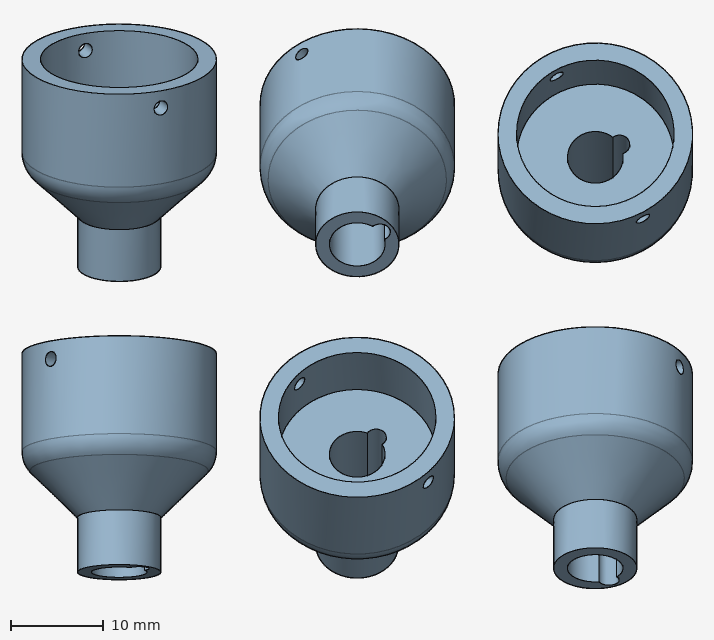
import cadquery as cq
import math

height = 24.0
cup_diameter = 21.0
neck_diameter = 9.0
neck_height = 6.0
shoulder_angle = 45.0
shoulder_radius = 3.0
recess_diameter = 17.0
recess_depth = 7.0
bore_diameter = 6.0
notch_diameter = 2.2
pin_hole_diameter = 1.6
pin_hole_drop = 2.0

cup_radius = cup_diameter / 2
neck_radius = neck_diameter / 2
bore_radius = bore_diameter / 2
floor_z = height - recess_depth
slope = math.radians(shoulder_angle)
corner_z = neck_height + (cup_radius - neck_radius) * math.tan(slope)
tangent_length = shoulder_radius * math.tan((math.pi / 2 - slope) / 2)
arc_top_z = corner_z + tangent_length
arc_center_x = cup_radius - shoulder_radius


def shoulder_point(angle):
    """Point on the shoulder rounding, at an angle below horizontal."""
    return (
        arc_center_x + shoulder_radius * math.cos(angle),
        arc_top_z - shoulder_radius * math.sin(angle),
    )


def make_body():
    """Solid of revolution: neck, cone, rounded shoulder and cup wall."""
    arc_sweep = math.pi / 2 - slope
    return (
        cq.Workplane("XZ")
        .lineTo(neck_radius, 0)
        .lineTo(neck_radius, neck_height)
        .lineTo(*shoulder_point(arc_sweep))
        .threePointArc(shoulder_point(arc_sweep / 2), (cup_radius, arc_top_z))
        .lineTo(cup_radius, height)
        .lineTo(0, height)
        .close()
        .revolve(360, (0, 0, 0), (0, 1, 0))
    )


def make_recess():
    """Round pocket open at the rim."""
    return cq.Workplane("XY", origin=(0, 0, floor_z)).circle(recess_diameter / 2).extrude(recess_depth)


def make_keyed_bore():
    """Through bore with a round notch centred on its +Y edge."""
    bore = cq.Workplane("XY").circle(bore_radius).extrude(height)
    notch = cq.Workplane("XY").center(0, bore_radius).circle(notch_diameter / 2).extrude(height)
    return bore.union(notch)


def make_pin_hole():
    """Cross hole along X through both cup walls."""
    return (
        cq.Workplane("YZ", origin=(0, 0, height - pin_hole_drop))
        .circle(pin_hole_diameter / 2)
        .extrude(cup_radius, both=True)
    )


result = make_body().cut(make_recess()).cut(make_keyed_bore()).cut(make_pin_hole())